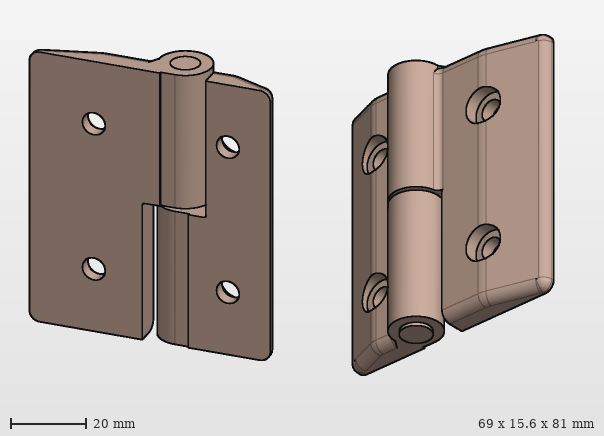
import cadquery as cq
import math

leaf_height = 79.95
leaf_thickness = 8.1
tip_thickness = 3.2
edge_radius = 3.0
corner_radius = 3.0

left_reach = 41.5
left_bend = 23.0
left_bend_radius = 9.7
right_reach = 27.5
right_bend = 15.4
right_bend_radius = 5.7

barrel_radius = 7.5
barrel_gap = 1.05
barrel_clearance = 1.5
barrel_root_radius = 2.0
notch_corner_radius = 0.6
step_offset = 4.05

pin_radius = 4.05
pin_head_radius = 4.5
pin_head_height = 1.05

hole_diameter = 6.5
counterbore_diameter = 10.85
counterbore_depth = 4.05
hole_inset = 18.5

axis_y = leaf_thickness
barrel_bottom_y = axis_y - barrel_radius
notch_x = -(barrel_radius + barrel_clearance)
barrel_z = (leaf_height + barrel_gap) / 2
barrel_height = leaf_height - barrel_z

root_centre_distance = barrel_radius + barrel_root_radius
root_x = -math.sqrt(root_centre_distance**2 - barrel_root_radius**2)
root_y = axis_y + barrel_root_radius
tangent_x = root_x * barrel_radius / root_centre_distance
tangent_y = axis_y + barrel_root_radius * barrel_radius / root_centre_distance


def prism(profile, z_start, height):
    """Extrude a closed XY profile along +Z."""
    return profile.extrude(height).translate((0, 0, z_start))


def leaf_plate(reach, bend):
    """Plate with a sloped back, rounded corners and rounded back edges."""
    profile = cq.Workplane("XY").polyline([
        (-reach, 0),
        (0, 0),
        (0, leaf_thickness),
        (-bend, leaf_thickness),
        (-reach, tip_thickness),
    ]).close()
    return prism(profile, 0, leaf_height)


def round_plate(plate, reach, bend, bend_radius):
    """Round the bend, the outer corners and the whole outer back rim."""
    middle = leaf_height / 2
    bend_edge = plate.edges(cq.selectors.NearestToPointSelector((-bend, leaf_thickness, middle)))
    plate = bend_edge.fillet(bend_radius)
    plate = plate.faces("<X").edges("|Y").fillet(corner_radius)
    rim = plate.edges(cq.selectors.NearestToPointSelector((-reach, tip_thickness, middle)))
    return rim.fillet(edge_radius)


def cut_notch(plate):
    """Remove the space taken by the barrel of the other leaf."""
    lower = cq.Workplane("XY").box(-notch_x, leaf_thickness, barrel_z, centered=False)
    lower = lower.translate((notch_x, 0, 0))
    lower = lower.edges("|Y and <X and >Z").fillet(notch_corner_radius)
    upper = cq.Workplane("XY").box(-root_x, leaf_thickness, barrel_height, centered=False)
    return plate.cut(lower).cut(upper.translate((root_x, 0, barrel_z)))


def barrel_arm():
    """Arm and barrel, joined by a web and a blend whose outer end is rounded."""
    arm = cq.Workplane("XY").polyline([
        (root_x, 0),
        (-step_offset, 0),
        (-step_offset, barrel_bottom_y),
        (0, barrel_bottom_y),
        (0, axis_y),
        (-barrel_radius, axis_y),
        (root_x, axis_y - edge_radius),
    ]).close()
    arm = prism(arm, barrel_z, barrel_height)
    barrel = prism(cq.Workplane("XY").center(0, axis_y).circle(barrel_radius), barrel_z, barrel_height)
    return arm.union(barrel).union(root_blend())


def root_blend():
    """Concave blend between barrel and leaf back, rolled over at the outer end."""
    mid_angle = (math.atan2(tangent_y - root_y, tangent_x - root_x) - math.pi / 2) / 2
    mid_x = root_x + barrel_root_radius * math.cos(mid_angle)
    mid_y = root_y + barrel_root_radius * math.sin(mid_angle)
    profile = (
        cq.Workplane("XY")
        .moveTo(root_x, axis_y)
        .threePointArc((mid_x, mid_y), (tangent_x, tangent_y))
        .lineTo(0, axis_y)
        .lineTo(root_x, axis_y - edge_radius)
        .close()
    )
    blend = prism(profile, barrel_z, barrel_height)
    inner = barrel_root_radius
    outer = barrel_root_radius + edge_radius
    bulge = edge_radius * (1 - math.sqrt(0.5))
    ring = (
        cq.Workplane("XZ")
        .moveTo(0, leaf_height)
        .lineTo(outer, leaf_height)
        .threePointArc((inner + bulge, leaf_height - bulge), (inner, leaf_height - edge_radius))
        .lineTo(0, leaf_height - edge_radius)
        .close()
        .revolve(360, (0, 0), (0, 1))
        .translate((root_x, root_y, 0))
    )
    return blend.cut(ring)


def drill_holes(leaf, bend):
    """Two through holes, counterbored from the back."""
    for z in (hole_inset, leaf_height - hole_inset):
        through = cq.Workplane("XZ", origin=(-bend, 0, z))
        through = through.circle(hole_diameter / 2).extrude(-leaf_thickness)
        bore = cq.Workplane("XZ", origin=(-bend, leaf_thickness, z))
        bore = bore.circle(counterbore_diameter / 2).extrude(counterbore_depth)
        leaf = leaf.cut(through).cut(bore)
    return leaf


def hinge_leaf(reach, bend, bend_radius):
    """Leaf reaching toward -X with its barrel in the upper half."""
    leaf = round_plate(leaf_plate(reach, bend), reach, bend, bend_radius)
    leaf = cut_notch(leaf).union(barrel_arm())
    leaf = drill_holes(leaf, bend)
    pin_hole = prism(cq.Workplane("XY").center(0, axis_y).circle(pin_radius), 0, leaf_height)
    return leaf.cut(pin_hole)


def hinge_pin():
    """Pin through both barrels with a low head under the lower one."""
    shank = prism(cq.Workplane("XY").center(0, axis_y).circle(pin_radius), 0, leaf_height)
    head = cq.Workplane("XY").center(0, axis_y).circle(pin_head_radius)
    return shank.union(prism(head, -pin_head_height, pin_head_height))


left_leaf = hinge_leaf(left_reach, left_bend, left_bend_radius)

leaf_centre = (0, 0, leaf_height / 2)
right_leaf = hinge_leaf(right_reach, right_bend, right_bend_radius)
right_leaf = right_leaf.rotate(leaf_centre, (0, 1, leaf_height / 2), 180)

pin = hinge_pin()

result = cq.Compound.makeCompound([left_leaf.val(), right_leaf.val(), pin.val()])